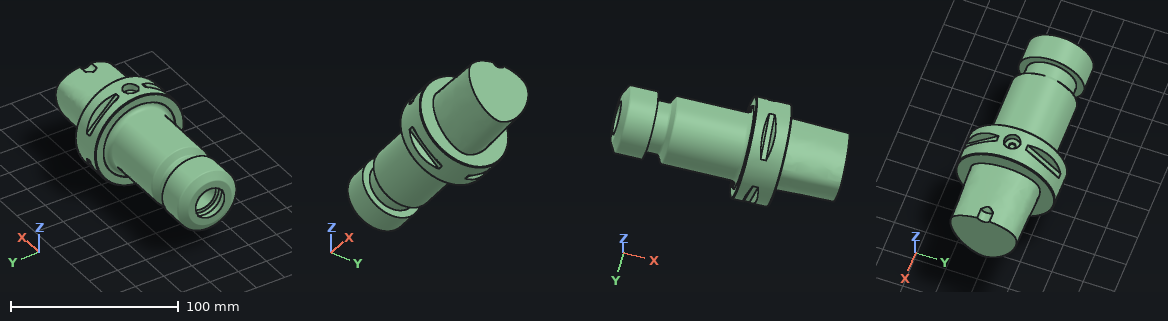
import cadquery as cq
import math

nut_end = 20.1
body_start = 29.1
flange_start = 77.8
flange_end = 100.0
shank_end = 138.0

body_radius = 21.0
nut_face_radius = 15.3
neck_radius = 16.0
flange_radius = 31.53
cone_slope = math.tan(math.radians(60))
edge_rounding = 1.2
flange_chamfer = 0.5

undercut_radius = 3.6
undercut_start = 75.2
undercut_end = undercut_start + undercut_radius
undercut_bottom_radius = body_radius + undercut_radius
undercut_mouth_radius = 25.5

mouth_radius = 10.2
cavity_radius = 12.4
cavity_start = 6.5
cavity_end = 9.7
bore_bottom_radius = 8.5
bore_taper = math.tan(math.radians(8))
drill_point = math.tan(math.radians(30))
steep_point = 1.0

shank_base_radius = 22.15
shank_tip_radius = 21.05
lobe_height = 1.7
lobe_points = 48

grip_station = 87.9
slot_floor_distance = 27.9
slot_floor_width = 3.3
slot_flank_angle = math.radians(30)
slot_angles = (45, 135, 225, 315)
coding_diameter = 10.0
coding_depth = 4.8
pilot_diameter = 4.0
pilot_depth = 1.4

notch_radius = 4.4
notch_axis_rise = 2.0
notch_start = 131.5

clearance = 2.8


def revolve_about_x(profile):
    return profile.close().revolve(360, (0, 0, 0), (1, 0, 0))


def turned_body():
    nut_cone_end = (body_radius - nut_face_radius) / cone_slope
    body_cone_end = body_start + (body_radius - neck_radius) / cone_slope
    front = revolve_about_x(
        cq.Workplane("XY")
        .lineTo(0, nut_face_radius)
        .lineTo(nut_cone_end, body_radius)
        .lineTo(nut_end, body_radius)
        .lineTo(nut_end, neck_radius)
        .lineTo(body_start, neck_radius)
        .lineTo(body_cone_end, body_radius)
        .lineTo(undercut_start, body_radius)
        .lineTo(undercut_start, 0)
    )
    cone_reach = nut_cone_end
    for cone_middle in (nut_cone_end / 2, (body_start + body_cone_end) / 2):
        selector = cq.selectors.BoxSelector(
            (cone_middle - cone_reach, -flange_radius, -flange_radius),
            (cone_middle + cone_reach, flange_radius, flange_radius),
        )
        front = front.edges(selector).edges("%CIRCLE").fillet(edge_rounding)

    arc_reach = undercut_radius * math.sqrt(0.5)
    flange = revolve_about_x(
        cq.Workplane("XY")
        .moveTo(undercut_start, 0)
        .lineTo(undercut_start, body_radius)
        .threePointArc(
            (undercut_start + arc_reach, undercut_bottom_radius - arc_reach),
            (undercut_end, undercut_bottom_radius),
        )
        .lineTo(undercut_end, undercut_mouth_radius)
        .lineTo(flange_start, undercut_mouth_radius)
        .lineTo(flange_start, flange_radius - flange_chamfer)
        .lineTo(flange_start + flange_chamfer, flange_radius)
        .lineTo(flange_end - flange_chamfer, flange_radius)
        .lineTo(flange_end, flange_radius - flange_chamfer)
        .lineTo(flange_end, 0)
    )
    return front.union(flange)


def lobed_outline(mean_radius):
    """Points of the curve whose distance to its tangent is R + e*cos(3t)."""
    points = []
    for i in range(lobe_points):
        t = 2 * math.pi * i / lobe_points
        support = mean_radius + lobe_height * math.cos(3 * t)
        slope = -3 * lobe_height * math.sin(3 * t)
        toward_lobe = support * math.cos(t) - slope * math.sin(t)
        sideways = support * math.sin(t) + slope * math.cos(t)
        points.append((sideways, -toward_lobe))
    return points


def shank():
    return (
        cq.Workplane("YZ", origin=(flange_end, 0, 0))
        .spline(lobed_outline(shank_base_radius), periodic=True)
        .close()
        .workplane(offset=shank_end - flange_end)
        .spline(lobed_outline(shank_tip_radius), periodic=True)
        .close()
        .loft(ruled=True)
    )


def collet_bore():
    taper_end = cavity_end + (mouth_radius - bore_bottom_radius) / bore_taper
    return revolve_about_x(
        cq.Workplane("XY")
        .lineTo(0, mouth_radius)
        .lineTo(cavity_start, cavity_radius)
        .lineTo(cavity_end, cavity_radius)
        .lineTo(cavity_end, mouth_radius)
        .lineTo(taper_end, bore_bottom_radius)
        .lineTo(taper_end + bore_bottom_radius * steep_point, 0)
    )


def grip_slot(angle):
    """Trapezoidal slot cut straight across the flange rim."""
    top = flange_radius + clearance
    floor_half = slot_floor_width / 2
    top_half = floor_half + (top - slot_floor_distance) * math.tan(slot_flank_angle)
    return (
        cq.Workplane("XZ")
        .moveTo(grip_station - floor_half, slot_floor_distance)
        .lineTo(grip_station + floor_half, slot_floor_distance)
        .lineTo(grip_station + top_half, top)
        .lineTo(grip_station - top_half, top)
        .close()
        .extrude(flange_radius, both=True)
        .rotate((0, 0, 0), (1, 0, 0), angle)
    )


def coding_hole():
    """Flat-bottomed hole in the rim with a conical-ended pilot below it."""
    floor = flange_radius - coding_depth
    pilot_radius = pilot_diameter / 2
    pilot_floor = floor - pilot_depth
    return (
        cq.Workplane("XZ")
        .moveTo(0, flange_radius + clearance)
        .lineTo(coding_diameter / 2, flange_radius + clearance)
        .lineTo(coding_diameter / 2, floor)
        .lineTo(pilot_radius, floor)
        .lineTo(pilot_radius, pilot_floor)
        .lineTo(0, pilot_floor - pilot_radius * drill_point)
        .close()
        .revolve(360, (0, 0, 0), (0, 1, 0))
        .translate((grip_station, 0, 0))
    )


def drive_notch():
    """Drilled groove along the top of the shank, its axis just above the surface."""
    axis_height = shank_tip_radius - lobe_height + notch_axis_rise
    return revolve_about_x(
        cq.Workplane("XY")
        .moveTo(notch_start - notch_radius * steep_point, 0)
        .lineTo(notch_start, notch_radius)
        .lineTo(shank_end + clearance, notch_radius)
        .lineTo(shank_end + clearance, 0)
    ).translate((0, 0, axis_height))


result = turned_body().union(shank()).cut(collet_bore())
for slot_angle in slot_angles:
    result = result.cut(grip_slot(slot_angle))
result = result.cut(coding_hole()).cut(drive_notch())